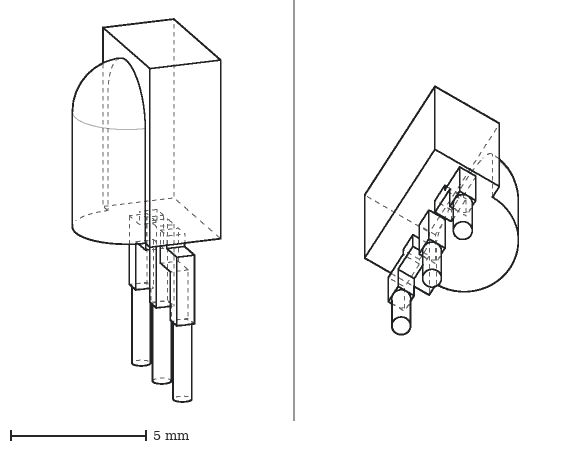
import cadquery as cq

body_width = 5.0
body_depth = 2.8
body_height = 7.0

lens_radius = 2.0
lens_straight_height = 4.5

total_height = 13.2
lead_size = 0.7
lead_pitch = 2.19
lead_root_offset = 1.14
jog_top_drop = 0.5
jog_bottom_drop = 1.3
square_length = 3.2
lead_length = total_height - body_height
round_length = lead_length - square_length


def make_body():
    return cq.Workplane("XY").box(body_width, body_depth, body_height, centered=(True, True, False))


def make_lens():
    front = cq.Workplane("XY").center(0, -body_depth / 2)
    cylinder = front.circle(lens_radius).extrude(lens_straight_height)
    dome = front.workplane(offset=lens_straight_height).sphere(lens_radius)
    lens = cylinder.union(dome)
    front_half = cq.Workplane("XY").box(
        2 * lens_radius, lens_radius, body_height, centered=(True, False, False)
    ).translate((0, -body_depth / 2 - lens_radius, 0))
    return lens.intersect(front_half)


def round_tip(x):
    return (
        cq.Workplane("XY", origin=(x, 0, -square_length))
        .circle(lead_size / 2)
        .extrude(-round_length)
    )


def straight_lead():
    square = cq.Workplane("XY").rect(lead_size, lead_size).extrude(-square_length)
    return square.union(round_tip(0))


def jogged_lead():
    half = lead_size / 2
    profile = [
        (lead_root_offset - half, 0),
        (lead_root_offset + half, 0),
        (lead_root_offset + half, -jog_top_drop),
        (lead_pitch + half, -jog_top_drop),
        (lead_pitch + half, -square_length),
        (lead_pitch - half, -square_length),
        (lead_pitch - half, -jog_bottom_drop),
        (lead_root_offset - half, -jog_bottom_drop),
    ]
    square = cq.Workplane("XZ").polyline(profile).close().extrude(half, both=True)
    return square.union(round_tip(lead_pitch))


outer_lead = jogged_lead()
result = (
    make_body()
    .union(make_lens())
    .union(straight_lead())
    .union(outer_lead)
    .union(outer_lead.mirror("YZ"))
)